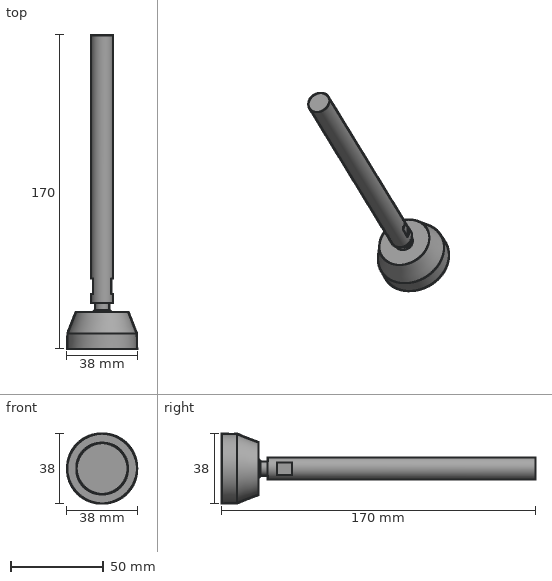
import cadquery as cq
import math

TOTAL_LENGTH = 170.0

FOOT_DIAMETER = 38.0
FOOT_TOP_DIAMETER = 28.5
FOOT_RIM_TOP_DIAMETER = 37.7
FOOT_RIM_HEIGHT = 8.3
FOOT_HEIGHT = 20.0
RECESS_MOUTH_DIAMETER = 28.0
RECESS_FLOOR_DIAMETER = 27.5
RECESS_DEPTH = 0.2

SHAFT_DIAMETER = 12.0
SHAFT_START = 24.8
NECK_DIAMETER = 7.8
BALL_DIAMETER = SHAFT_DIAMETER
BALL_CENTER = 16.5

FLAT_START = 30.0
FLAT_LENGTH = 8.2
ACROSS_FLATS = 10.0


def make_ball():
    """Sphere matching the ball of the joint, used to cut its socket."""
    return cq.Workplane("XY").sphere(BALL_DIAMETER / 2).translate((0, BALL_CENTER, 0))


def make_foot():
    """Tapered round foot with a shallow recess below and a ball socket above."""
    body = (
        cq.Workplane("XY")
        .moveTo(0, RECESS_DEPTH)
        .lineTo(RECESS_FLOOR_DIAMETER / 2, RECESS_DEPTH)
        .lineTo(RECESS_MOUTH_DIAMETER / 2, 0)
        .lineTo(FOOT_DIAMETER / 2, 0)
        .lineTo(FOOT_RIM_TOP_DIAMETER / 2, FOOT_RIM_HEIGHT)
        .lineTo(FOOT_TOP_DIAMETER / 2, FOOT_HEIGHT)
        .lineTo(0, FOOT_HEIGHT)
        .close()
        .revolve(360, (0, 0, 0), (0, 1, 0))
    )
    return body.cut(make_ball())


def make_flat_cutter(side):
    """Block that leaves one wrench flat; side is +1 or -1 along X."""
    depth = (SHAFT_DIAMETER - ACROSS_FLATS) / 2
    x_center = side * (ACROSS_FLATS + depth) / 2
    y_center = FLAT_START + FLAT_LENGTH / 2
    return cq.Workplane("XY").box(depth, FLAT_LENGTH, SHAFT_DIAMETER).translate((x_center, y_center, 0))


def make_spindle():
    """Ball, neck and long shaft in one piece, with two wrench flats."""
    ball_radius = BALL_DIAMETER / 2
    neck_radius = NECK_DIAMETER / 2
    shaft_radius = SHAFT_DIAMETER / 2
    neck_start = BALL_CENTER + math.sqrt(ball_radius**2 - neck_radius**2)
    spindle = (
        cq.Workplane("XY")
        .moveTo(0, BALL_CENTER - ball_radius)
        .threePointArc((ball_radius, BALL_CENTER), (neck_radius, neck_start))
        .lineTo(neck_radius, SHAFT_START)
        .lineTo(shaft_radius, SHAFT_START)
        .lineTo(shaft_radius, TOTAL_LENGTH)
        .lineTo(0, TOTAL_LENGTH)
        .close()
        .revolve(360, (0, 0, 0), (0, 1, 0))
    )
    for side in (-1, 1):
        spindle = spindle.cut(make_flat_cutter(side))
    return spindle


foot = make_foot()
spindle = make_spindle()
result = cq.Compound.makeCompound([foot.val(), spindle.val()])